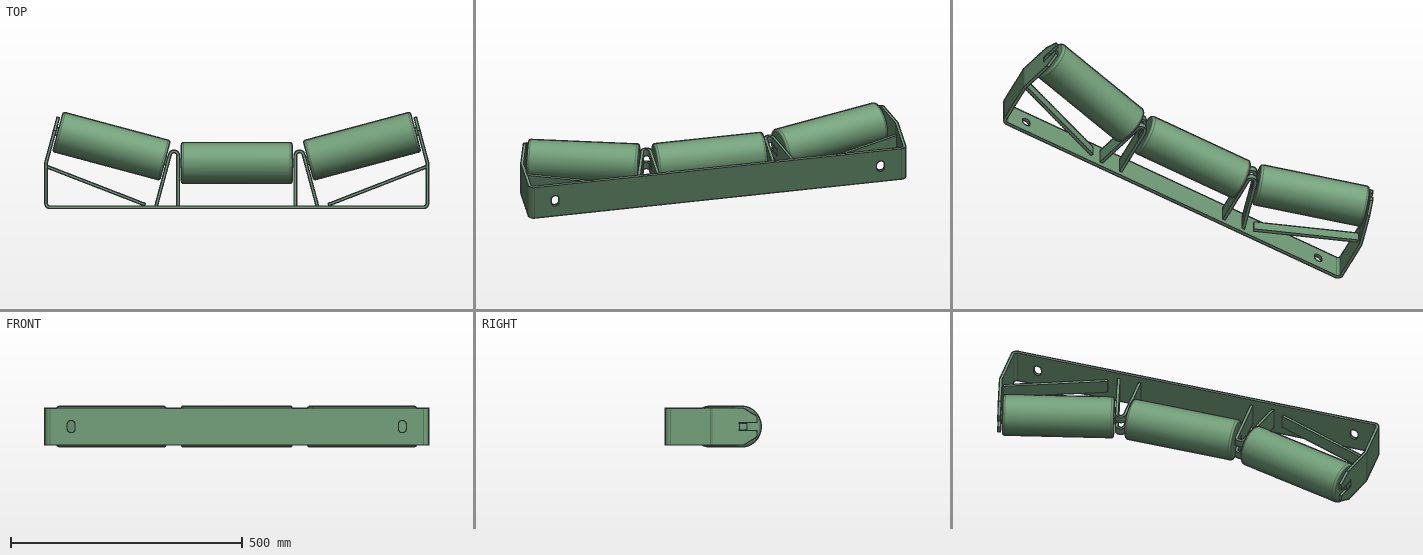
import cadquery as cq
import math


sheet = 6.0
strip_height = 80.0
bend_radius = 2 * sheet
inner_radius = bend_radius - sheet

roller_diameter = 89.0
roller_length = 240.0
roller_rim_fillet = 5.0
roller_tilt = 15.0
middle_roller_y = 99.0
side_roller_x = 270.5
side_roller_y = 135.0

support_gap = 247.0
shaft_width = 17.5
shaft_thickness = 14.0
slot_height = 17.5
shaft_length = support_gap + 2 * sheet

frame_length = 830.0
wall_bend_y = 98.0
wall_end_y = 198.0
end_chamfer_along = 30.0
end_chamfer_z = 17.5
mount_slot_x = 358.0
mount_slot_width = 17.5
mount_slot_height = 26.5

bracket_height = 50.0

strut_height = 31.0
strut_angle = 21.2
strut_foot_x = 199.0

tilt_sin = math.sin(math.radians(roller_tilt))
tilt_cos = math.cos(math.radians(roller_tilt))
tilt_tan = math.tan(math.radians(roller_tilt))


def strip(outline, height=strip_height):
    """Extrude a closed outline to a strip of the given height, centred on Z = 0."""
    return outline.extrude(height / 2, both=True)


def place_at_side_roller(shape):
    """Move a shape built along X at the origin onto the axis of the +X side roller."""
    return shape.rotate((0, 0, 0), (0, 0, 1), roller_tilt).translate((side_roller_x, side_roller_y, 0))


def place_at_middle_roller(shape):
    """Move a shape built along X at the origin onto the axis of the middle roller."""
    return shape.translate((0, middle_roller_y, 0))


def on_side(shape, side):
    """Return a +X shape as it is for side = 1, mirrored to -X for side = -1."""
    return shape if side > 0 else shape.mirror("YZ")


def make_roller():
    """Roller along X at the origin with its flat shaft ends."""
    drum = (
        cq.Workplane("YZ", origin=(-roller_length / 2, 0, 0))
        .circle(roller_diameter / 2)
        .extrude(roller_length)
        .edges()
        .fillet(roller_rim_fillet)
    )
    return drum.union(cq.Workplane("XY").box(shaft_length, shaft_width, shaft_thickness))


def make_shaft_slot(end):
    """Cutter for an open-topped slot at one shaft end (end = 1 or -1) of a roller at the origin."""
    depth = roller_diameter
    slot = cq.Workplane("XY").box(2 * bend_radius, depth, slot_height)
    slot_x = end * (support_gap + sheet) / 2
    return slot.translate((slot_x, (depth - shaft_width) / 2, 0))


def cut_end_corners(half_frame):
    """Slant both corners at the free end of the tilted wall."""
    start_y = wall_end_y - end_chamfer_along * tilt_cos
    for z_side in (1, -1):
        edge_z = z_side * strip_height / 2
        corner = (
            cq.Workplane("YZ")
            .moveTo(start_y, edge_z)
            .lineTo(wall_end_y, edge_z - z_side * end_chamfer_z)
            .lineTo(wall_end_y, edge_z)
            .close()
            .extrude(frame_length / 2)
        )
        half_frame = half_frame.cut(corner)
    return half_frame


def make_mount_slot():
    """Cutter for the upright mounting slot through the base."""
    return (
        cq.Workplane("XZ", origin=(mount_slot_x, 0, 0))
        .slot2D(mount_slot_height, mount_slot_width, 90)
        .extrude(-sheet)
    )


def make_frame():
    """Base with upright end walls whose upper parts lean inward, square to the side rollers."""
    half = frame_length / 2
    bend_center = (half - bend_radius, wall_bend_y)

    def tilted_wall_point(radius, y=None):
        """Point of the wall face at a radius: its tangent point on the bend, or its end at y."""
        tangent = (bend_center[0] + radius * tilt_cos, bend_center[1] + radius * tilt_sin)
        if y is None:
            return tangent
        return (tangent[0] - (y - tangent[1]) * tilt_tan, y)

    outer_end = tilted_wall_point(bend_radius, wall_end_y)
    inner_end = (outer_end[0] - sheet * tilt_cos, outer_end[1] - sheet * tilt_sin)
    outline = (
        cq.Workplane("XY")
        .moveTo(0, 0)
        .lineTo(half - bend_radius, 0)
        .radiusArc((half, bend_radius), -bend_radius)
        .lineTo(half, wall_bend_y)
        .radiusArc(tilted_wall_point(bend_radius), -bend_radius)
        .lineTo(*outer_end)
        .lineTo(*inner_end)
        .lineTo(*tilted_wall_point(inner_radius))
        .radiusArc((half - sheet, wall_bend_y), inner_radius)
        .lineTo(half - sheet, bend_radius)
        .radiusArc((half - bend_radius, sheet), inner_radius)
        .lineTo(0, sheet)
        .close()
    )
    half_frame = strip(outline)
    half_frame = cut_end_corners(half_frame)
    half_frame = half_frame.cut(place_at_side_roller(make_shaft_slot(1)))
    half_frame = half_frame.cut(make_mount_slot())
    return half_frame.union(half_frame.mirror("YZ"))


def make_bracket(side):
    """Hairpin with an upright leg at the middle roller and a tilted leg at the side roller."""
    half_gap = support_gap / 2
    bend_x = half_gap + bend_radius
    bend_y = side_roller_y + ((side_roller_x - bend_x) * tilt_cos - bend_x) / tilt_sin

    def tilted_leg_point(radius, y=None):
        """Point of the leg face at a radius: its tangent point on the bend, or its foot at y."""
        tangent = (bend_x + radius * tilt_cos, bend_y + radius * tilt_sin)
        if y is None:
            return tangent
        return (tangent[0] + (tangent[1] - y) * tilt_tan, y)

    outline = (
        cq.Workplane("XY")
        .moveTo(half_gap, sheet)
        .lineTo(half_gap, bend_y)
        .threePointArc((bend_x, bend_y + bend_radius), tilted_leg_point(bend_radius))
        .lineTo(*tilted_leg_point(bend_radius, sheet))
        .lineTo(*tilted_leg_point(inner_radius, sheet))
        .lineTo(*tilted_leg_point(inner_radius))
        .threePointArc((bend_x, bend_y + inner_radius), (half_gap + sheet, bend_y))
        .lineTo(half_gap + sheet, sheet)
        .close()
    )
    bracket = strip(outline, bracket_height)
    bracket = bracket.cut(place_at_middle_roller(make_shaft_slot(1)))
    bracket = bracket.cut(place_at_side_roller(make_shaft_slot(-1)))
    return on_side(bracket, side)


def make_strut(side):
    """Diagonal strip from the base up to the outer wall."""
    angle = math.radians(strut_angle)
    wall_x = frame_length / 2 - sheet
    lower_wall_y = sheet + (wall_x - strut_foot_x) * math.tan(angle)
    rise = sheet / math.cos(angle)
    outline = (
        cq.Workplane("XY")
        .moveTo(strut_foot_x, sheet)
        .lineTo(wall_x, lower_wall_y)
        .lineTo(wall_x, lower_wall_y + rise)
        .lineTo(strut_foot_x - sheet * math.sin(angle), sheet + sheet * math.cos(angle))
        .close()
    )
    return on_side(strip(outline, strut_height), side)


frame = make_frame()
rollers = [place_at_middle_roller(make_roller())]
brackets = []
struts = []
for side in (-1, 1):
    rollers.append(on_side(place_at_side_roller(make_roller()), side))
    brackets.append(make_bracket(side))
    struts.append(make_strut(side))

bodies = [frame, *rollers, *brackets, *struts]
result = cq.Compound.makeCompound([body.solids().val() for body in bodies])